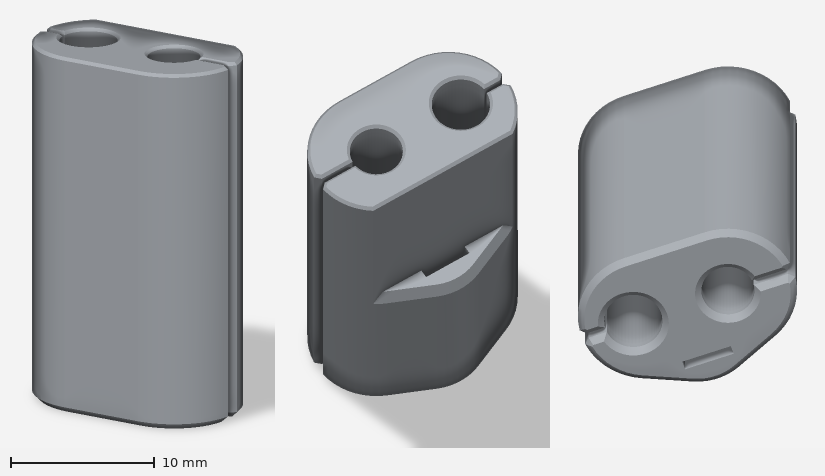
import cadquery as cq
import math

height = 26.0
end_radius = 4.8
end_offset = 3.0
side_x = end_offset + end_radius
flat_back_y = 3.93

hump_height = 14.0
hump_back_y = 6.2
crown_radius = 4.2
hump_bevel_height = 0.94
hump_bevel_depth = 0.42

strap_width = 3.6
strap_depth = 0.62

holes = [(-4.0, 2.03), (3.0, 1.85)]
slit_half_width = 0.18
mouth_bevel = 0.4

top_chamfer = 0.2
bottom_chamfer = 0.45

crown_y = hump_back_y - crown_radius
flank_angle = math.acos(
    (end_radius - crown_radius) / math.hypot(end_offset, crown_y)
) - math.atan2(end_offset, crown_y)


def extrude_outline(base_z, length, taper=0):
    """Prism with the full outline, crown and flanks included."""
    end_x = end_offset + end_radius * math.sin(flank_angle)
    end_y = end_radius * math.cos(flank_angle)
    crown_end_x = crown_radius * math.sin(flank_angle)
    crown_end_y = crown_y + crown_radius * math.cos(flank_angle)
    return (
        cq.Workplane("XY", origin=(0, 0, base_z))
        .moveTo(-end_offset, -end_radius)
        .lineTo(end_offset, -end_radius)
        .threePointArc((side_x, 0), (end_x, end_y))
        .lineTo(crown_end_x, crown_end_y)
        .threePointArc((0, hump_back_y), (-crown_end_x, crown_end_y))
        .lineTo(-end_x, end_y)
        .threePointArc((-side_x, 0), (-end_offset, -end_radius))
        .close()
        .extrude(length, taper=taper)
    )


def make_behind_flat():
    """Block filling everything behind the flat back."""
    depth = hump_back_y - flat_back_y
    return (
        cq.Workplane("XY")
        .moveTo(0, flat_back_y + depth / 2)
        .rect(2 * side_x, depth)
        .extrude(height)
    )


def make_hump():
    """Part of the outline behind the flat, with a steep bevel round its top."""
    bevel_base_z = hump_height - hump_bevel_height
    bevel_angle = math.degrees(math.atan2(hump_bevel_depth, hump_bevel_height))
    bevel = extrude_outline(bevel_base_z, hump_bevel_height, bevel_angle)
    return extrude_outline(0, bevel_base_z).union(bevel).intersect(make_behind_flat())


def make_hole(hole_x, hole_radius):
    """Through hole with its slit, which flares at 45 degrees to the outside."""
    side = math.copysign(1, hole_x)
    mouth_half_width = slit_half_width + mouth_bevel
    mouth_x = end_offset + math.sqrt(end_radius**2 - mouth_half_width**2)
    slit = (
        cq.Workplane("XY")
        .moveTo(hole_x, slit_half_width)
        .lineTo(side * (mouth_x - mouth_bevel), slit_half_width)
        .lineTo(side * mouth_x, mouth_half_width)
        .lineTo(side * side_x, mouth_half_width)
        .lineTo(side * side_x, 0)
        .lineTo(hole_x, 0)
        .close()
        .extrude(height)
    )
    hole = cq.Workplane("XY").moveTo(hole_x, 0).circle(hole_radius).extrude(height)
    return hole.union(slit).union(slit.mirror("XZ"))


def make_strap_slot():
    """Slot lying against the flat back, open at both ends of the hump."""
    return (
        cq.Workplane("XY")
        .moveTo(0, flat_back_y + strap_depth / 2)
        .rect(strap_width, strap_depth)
        .extrude(height)
    )


body = extrude_outline(0, height).cut(make_behind_flat()).union(make_hump())
for hole_x, hole_radius in holes:
    body = body.cut(make_hole(hole_x, hole_radius))
body = body.faces(">Z").chamfer(top_chamfer)
body = body.faces("<Z").chamfer(bottom_chamfer)
result = body.cut(make_strap_slot())